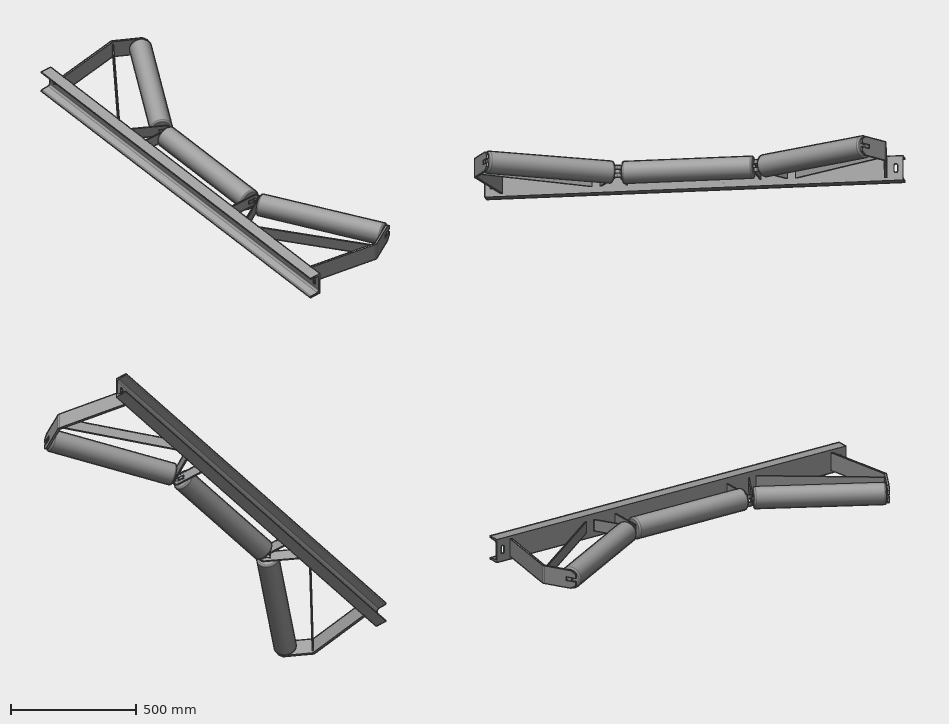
import cadquery as cq
import math


BEAM_LENGTH = 1700.0
BEAM_HEIGHT = 100.0
FLANGE_DEPTH = 50.0
WEB_THICKNESS = 6.0
FLANGE_THICKNESS = 8.0
FLANGE_SLOPE = 0.08
ROOT_RADIUS = 8.0
TOE_RADIUS = 4.5
MOUNT_SLOT_WIDTH = 15.0
MOUNT_SLOT_HEIGHT = 35.0
MOUNT_SLOT_INSET = 29.0

ROLLER_LENGTH = 530.0
ROLLER_DIAMETER = 90.0
ROLLER_EDGE_FILLET = 7.0
TROUGH_ANGLE = 30.0
CENTRE_ROLLER_Y = 117.0
SIDE_ROLLER_X = 539.0
SIDE_ROLLER_Y = 264.0

SHAFT_DIAMETER = 24.0
SHAFT_FLAT_WIDTH = 15.0
SHAFT_END = 275.0
SHAFT_SLOT_REACH = 284.0
SHAFT_SLOT_DEPTH = 68.0

FOOT_Y = -WEB_THICKNESS / 2
MOUNT_OFFSET = 272.0
SIDE_MOUNT_OFFSET = 274.0
OUTER_WIDTH = 76.0
OUTER_THICKNESS = 8.0
OUTER_FOOT_X = 780.0
OUTER_BEND_Y = 303.0
OUTER_TOP = 30.0
OUTER_BEND_RADIUS = 8.0
CORNER_CUT_LENGTH = 20.0
CORNER_CUT_WIDTH = 14.0
INNER_WIDTH = 50.0
INNER_THICKNESS = 5.0
INNER_FOOT_X = 379.0
INNER_TOP_Y = 145.0
INNER_BEND_RADIUS = 8.0
STRUT_WIDTH = 50.0
STRUT_THICKNESS = 5.0
STRUT_TOP_Y = 306.0
STRUT_FOOT_X = 413.0

COS = math.cos(math.radians(TROUGH_ANGLE))
SIN = math.sin(math.radians(TROUGH_ANGLE))


def on_side_roller(along, across):
    """XY point at a distance along the +X side roller's axis and across it, from its middle."""
    x = SIDE_ROLLER_X + along * COS - across * SIN
    y = SIDE_ROLLER_Y + along * SIN + across * COS
    return (x, y)


def mount_plane_point(along, y):
    """Point at height y on the line square to the +X side roller's axis at a given distance along it."""
    across = (y - SIDE_ROLLER_Y - along * SIN) / COS
    return on_side_roller(along, across)


def strip(path, thickness, width, bend_radius=0.0):
    """Flat bar centred on a path of XY points, with bends of the given inside radius."""
    left, right = [], []
    for i, point in enumerate(path):
        before = path[max(i - 1, 0)]
        after = path[min(i + 1, len(path) - 1)]
        headings = [
            math.atan2(end[1] - start[1], end[0] - start[0])
            for start, end in ((before, point), (point, after))
            if start != end
        ]
        normal = sum(headings) / len(headings) + math.pi / 2
        reach = thickness / 2 / math.cos((headings[-1] - headings[0]) / 2)
        dx = reach * math.cos(normal)
        dy = reach * math.sin(normal)
        left.append((point[0] + dx, point[1] + dy))
        right.append((point[0] - dx, point[1] - dy))
    bar = cq.Workplane("XY").polyline(left + right[::-1]).close()
    bar = bar.extrude(width / 2, both=True)
    for inside, outside in zip(left[1:-1], right[1:-1]):
        for corner, radius in ((inside, bend_radius), (outside, bend_radius + thickness)):
            edge = cq.selectors.NearestToPointSelector((*corner, 0))
            bar = bar.edges("|Z").edges(edge).fillet(radius)
    return bar


def rod(diameter, length):
    """Round bar along X, centred on the origin."""
    return cq.Workplane("YZ", origin=(-length / 2, 0, 0)).circle(diameter / 2).extrude(length)


def make_beam():
    half = BEAM_HEIGHT / 2
    rise = FLANGE_SLOPE * FLANGE_DEPTH / 2
    toe_z = half - FLANGE_THICKNESS + rise
    root_z = half - FLANGE_THICKNESS - rise
    beam = (
        cq.Workplane("YZ")
        .polyline(
            [
                (0, -half),
                (0, half),
                (-FLANGE_DEPTH, half),
                (-FLANGE_DEPTH, toe_z),
                (-WEB_THICKNESS, root_z),
                (-WEB_THICKNESS, -root_z),
                (-FLANGE_DEPTH, -toe_z),
                (-FLANGE_DEPTH, -half),
            ]
        )
        .close()
        .extrude(BEAM_LENGTH / 2, both=True)
    )
    box = cq.selectors.BoxSelector
    roots = box((-17, -WEB_THICKNESS - 2.0, -root_z - 2.0), (17, -WEB_THICKNESS + 2.0, root_z + 2.0))
    beam = beam.edges("|X").edges(roots).fillet(ROOT_RADIUS)
    toes = box((-17, -FLANGE_DEPTH - 2.0, -toe_z - 2.0), (17, -FLANGE_DEPTH + 2.0, toe_z + 2.0))
    beam = beam.edges("|X").edges(toes).fillet(TOE_RADIUS)
    slot_x = BEAM_LENGTH / 2 - MOUNT_SLOT_INSET
    slots = (
        cq.Workplane("XZ")
        .pushPoints([(-slot_x, 0), (slot_x, 0)])
        .slot2D(MOUNT_SLOT_HEIGHT, MOUNT_SLOT_WIDTH, 90)
        .extrude(WEB_THICKNESS)
    )
    return beam.cut(slots)


def shaft_solid():
    """Round shaft along X about the origin, flattened at both ends where the brackets hold it."""
    shaft = rod(SHAFT_DIAMETER, 2 * SHAFT_END)
    flat_length = SHAFT_END - ROLLER_LENGTH / 2
    cut_depth = (SHAFT_DIAMETER - SHAFT_FLAT_WIDTH) / 2
    for end in (-1, 1):
        for side in (-1, 1):
            cutter = cq.Workplane("XY").box(flat_length, SHAFT_DIAMETER, cut_depth)
            x = end * (SHAFT_END - flat_length / 2)
            z = side * (SHAFT_FLAT_WIDTH + cut_depth) / 2
            shaft = shaft.cut(cutter.translate((x, 0, z)))
    return shaft


def shell_solid():
    """Roller shell along X about the origin, bored for its shaft."""
    shell = rod(ROLLER_DIAMETER, ROLLER_LENGTH)
    shell = shell.edges().fillet(ROLLER_EDGE_FILLET)
    bore = rod(SHAFT_DIAMETER, ROLLER_LENGTH)
    return shell.cut(bore)


def shaft_slots():
    """Cutter for a roller along X: slots open toward +Y whose floors carry the shaft."""
    slot = cq.Workplane("XY").box(2 * SHAFT_SLOT_REACH, SHAFT_SLOT_DEPTH, SHAFT_FLAT_WIDTH)
    return slot.translate((0, (SHAFT_SLOT_DEPTH - SHAFT_DIAMETER) / 2, 0))


def place(body, station):
    """Move a body from the origin to the left (-1), centre (0) or right (1) roller station."""
    if station == 0:
        return body.translate((0, CENTRE_ROLLER_Y, 0))
    body = body.rotate((0, 0, 0), (0, 0, 1), station * TROUGH_ANGLE)
    return body.translate((station * SIDE_ROLLER_X, SIDE_ROLLER_Y, 0))


def outer_bracket():
    """Bent plate from the beam to the outer end of the +X side roller."""
    path = [
        (OUTER_FOOT_X, FOOT_Y),
        mount_plane_point(SIDE_MOUNT_OFFSET, OUTER_BEND_Y),
        on_side_roller(SIDE_MOUNT_OFFSET, OUTER_TOP),
    ]
    plate = strip(path, OUTER_THICKNESS, OUTER_WIDTH, OUTER_BEND_RADIUS)
    top = OUTER_WIDTH / 2
    corner = (
        cq.Workplane("YZ")
        .polyline([(OUTER_TOP, top), (OUTER_TOP - CORNER_CUT_LENGTH, top), (OUTER_TOP, top - CORNER_CUT_WIDTH)])
        .close()
        .extrude(SHAFT_SLOT_REACH)
    )
    for cutter in (corner, corner.mirror("XY")):
        plate = plate.cut(place(cutter, 1))
    return plate


def inner_bracket():
    """Folded plate holding the centre roller's +X end and the side roller's inner end."""
    path = [
        (INNER_FOOT_X, FOOT_Y),
        mount_plane_point(-SIDE_MOUNT_OFFSET, INNER_TOP_Y),
        (MOUNT_OFFSET, INNER_TOP_Y),
        (MOUNT_OFFSET, FOOT_Y),
    ]
    return strip(path, INNER_THICKNESS, INNER_WIDTH, INNER_BEND_RADIUS)


def strut():
    """Flat brace from the beam to the bend of the outer bracket."""
    path = [(STRUT_FOOT_X, FOOT_Y), mount_plane_point(SIDE_MOUNT_OFFSET, STRUT_TOP_Y)]
    return strip(path, STRUT_THICKNESS, STRUT_WIDTH)


def make_frame():
    frame = make_beam()
    half = outer_bracket().union(inner_bracket()).union(strut())
    frame = frame.union(half).union(half.mirror("YZ"))
    for station in (-1, 0, 1):
        frame = frame.cut(place(shaft_slots(), station))
    return frame


frame = make_frame()
shells = [place(shell_solid(), station) for station in (-1, 0, 1)]
shafts = [place(shaft_solid(), station) for station in (-1, 0, 1)]

result = cq.Compound.makeCompound([body.val() for body in [frame] + shells + shafts])